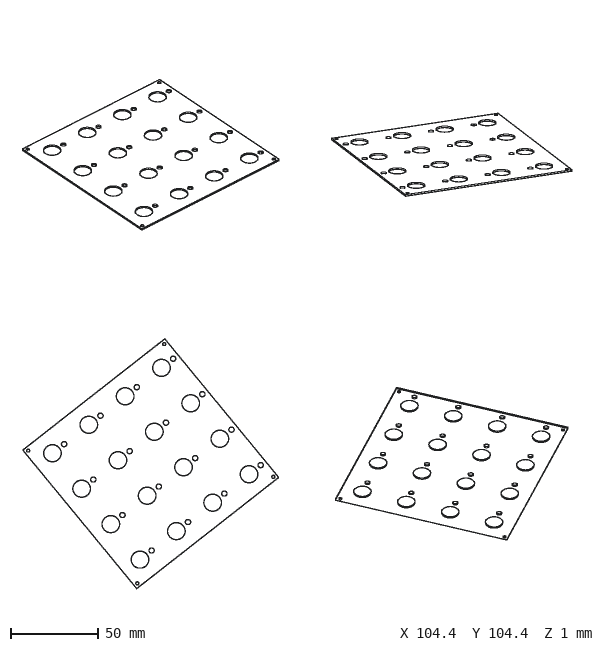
import cadquery as cq

side = 104.4
thickness = 1.0

grid_count = 4
grid_pitch = 26.7
large_hole_diameter = 10.0
small_hole_diameter = 3.0
small_hole_offset = 8.6

corner_hole_diameter = 1.8
corner_hole_inset = 2.2
corner_hole_spacing = side - 2 * corner_hole_inset


def hole_grid(count, pitch, diameter, shift_y=0.0):
    """Square grid of through-hole cutters, optionally shifted along Y."""
    return (
        cq.Workplane("XY")
        .center(0, shift_y)
        .rarray(pitch, pitch, count, count)
        .circle(diameter / 2)
        .extrude(thickness)
    )


plate = cq.Workplane("XY").box(side, side, thickness, centered=(True, True, False))

large_holes = hole_grid(grid_count, grid_pitch, large_hole_diameter)
small_holes = hole_grid(grid_count, grid_pitch, small_hole_diameter, small_hole_offset)
corner_holes = hole_grid(2, corner_hole_spacing, corner_hole_diameter)

result = plate.cut(large_holes).cut(small_holes).cut(corner_holes)